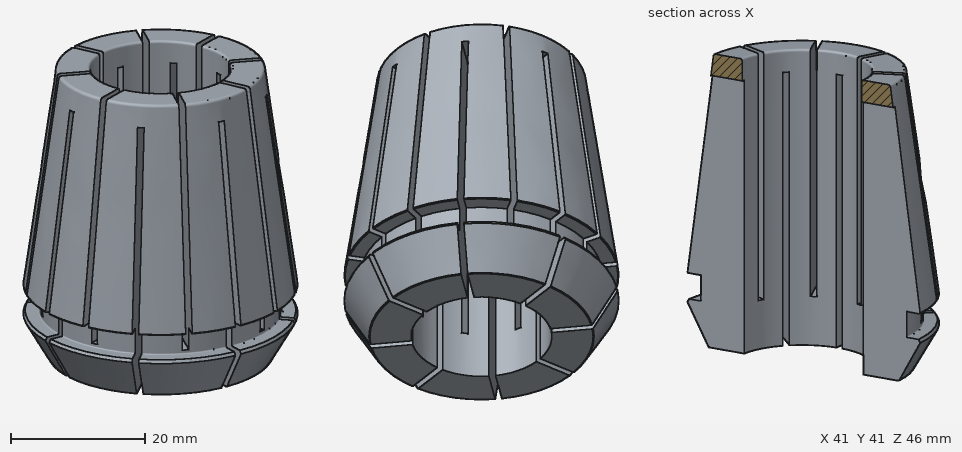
import cadquery as cq
import math

height = 46.0
outer_radius = 20.5
bore_radius = 10.5

taper_angle = 8.0
taper_bottom_z = 11.0
top_edge_fillet = 0.5
bore_edge_fillet = 0.4
taper_bottom_chamfer = 0.15

groove_bottom_z = 7.0
groove_radius = 18.1
groove_corner_fillet = 0.2
rim_edge_height = 0.5
rim_edge_inset = 0.3
nose_angle = 30.0
nose_edge_chamfer = 0.1

slot_width = 1.0
slots_per_end = 8
lower_slot_top_z = 42.5
upper_slot_bottom_z = 7.6

slot_pitch = 360.0 / slots_per_end
slot_length = 2 * outer_radius
rim_z = groove_bottom_z - rim_edge_height
nose_radius = outer_radius - rim_z * math.tan(math.radians(nose_angle))
taper_slope = math.tan(math.radians(taper_angle))
top_radius = outer_radius - (height - taper_bottom_z) * taper_slope
taper_start_z = taper_bottom_z + taper_bottom_chamfer
taper_start_radius = outer_radius - taper_bottom_chamfer * taper_slope

inner_circle = cq.selectors.RadiusNthSelector(0)
outer_circle = cq.selectors.RadiusNthSelector(-1)


def make_body():
    """Revolve the collet profile around Z and finish its end edges."""
    profile = (
        cq.Workplane("XZ")
        .moveTo(bore_radius, 0)
        .lineTo(nose_radius, 0)
        .lineTo(outer_radius, rim_z)
        .lineTo(outer_radius - rim_edge_inset, groove_bottom_z)
        .lineTo(groove_radius + groove_corner_fillet, groove_bottom_z)
        .tangentArcPoint((groove_radius, groove_bottom_z + groove_corner_fillet), relative=False)
        .lineTo(groove_radius, taper_bottom_z)
        .lineTo(outer_radius - taper_bottom_chamfer, taper_bottom_z)
        .lineTo(taper_start_radius, taper_start_z)
        .lineTo(top_radius, height)
        .lineTo(bore_radius, height)
        .close()
    )
    body = profile.revolve(360, (0, 0), (0, 1))
    body = body.faces(">Z").edges(outer_circle).fillet(top_edge_fillet)
    body = body.faces(">Z").edges(inner_circle).fillet(bore_edge_fillet)
    return body.faces("<Z").edges(outer_circle).chamfer(nose_edge_chamfer)


def make_slots(first_angle, bottom_z, top_z):
    """Radial slots, evenly spaced around Z, between two heights."""
    slots = cq.Workplane("XY")
    for index in range(slots_per_end):
        slot = (
            cq.Workplane("XY")
            .workplane(offset=bottom_z)
            .center(slot_length / 2, 0)
            .rect(slot_length, slot_width)
            .extrude(top_z - bottom_z)
            .rotate((0, 0, 0), (0, 0, 1), first_angle + index * slot_pitch)
        )
        slots = slots.add(slot)
    return slots.combine()


lower_slots = make_slots(0, 0, lower_slot_top_z)
upper_slots = make_slots(slot_pitch / 2, upper_slot_bottom_z, height)

result = make_body().cut(lower_slots).cut(upper_slots)